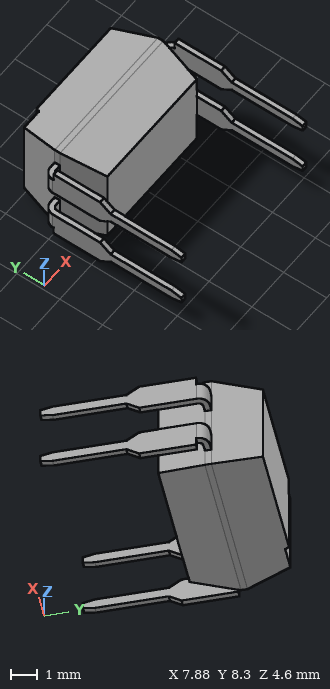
import cadquery as cq

total_depth = 8.3
lead_span = 7.88

body_width = 6.51
body_height = 4.6
half_depth = 1.88
draft = 0.43
step_depth = 0.16
step_floor_x = -1.92
step_top_x = -1.86

lead_thickness = 0.25
bend_radius = 0.415
pin_pitch = 2.54
blade_width = 1.18
pin_width = 0.48
tip_width = 0.28
blade_start = 0.45
blade_end = 2.62
pin_start = 3.11
tip_start = 5.94

band_depth = lead_thickness
back_y = half_depth
lead_length = total_depth - half_depth
end_width = body_width - 2 * draft
end_height = body_height - 2 * draft
bend_inner_radius = bend_radius - lead_thickness
outer_x = lead_span / 2
inner_x = outer_x - lead_thickness
side_x = body_width / 2
bend_x = outer_x - bend_radius


def tapered_half(start_y, end_y):
    """Frustum from the parting band at start_y to the smaller end face at end_y."""
    return (
        cq.Workplane("XZ", origin=(0, start_y, 0))
        .rect(body_width, body_height)
        .workplane(offset=start_y - end_y)
        .rect(end_width, end_height)
        .loft(ruled=True)
    )


def make_housing():
    band = cq.Workplane("XZ").rect(body_width, body_height).extrude(band_depth)
    back_half = tapered_half(0, back_y)
    front_half = tapered_half(-band_depth, -band_depth - half_depth)
    step = (
        cq.Workplane("XY")
        .polyline([
            (-side_x, back_y),
            (step_top_x, back_y),
            (step_floor_x, back_y - step_depth),
            (-side_x, back_y - step_depth),
        ])
        .close()
        .extrude(body_height / 2, both=True)
    )
    return band.union(back_half).union(front_half).cut(step)


def make_upper_right_lead():
    """Bent flat lead whose strip is offset to the outer (+Z) side of its blade."""
    pin_z = pin_pitch / 2
    strip_bottom = pin_z - blade_width / 2
    strip_top = pin_z + pin_width / 2
    strip = (
        cq.Workplane("XY", origin=(0, 0, strip_bottom))
        .moveTo(side_x, 0)
        .lineTo(bend_x, 0)
        .radiusArc((outer_x, -bend_radius), bend_radius)
        .lineTo(outer_x, -blade_start)
        .lineTo(inner_x, -blade_start)
        .lineTo(inner_x, -bend_radius)
        .radiusArc((bend_x, -lead_thickness), -bend_inner_radius)
        .lineTo(side_x, -lead_thickness)
        .close()
        .extrude(strip_top - strip_bottom)
    )
    half_outline = [
        (-blade_start, blade_width / 2),
        (-blade_end, blade_width / 2),
        (-pin_start, pin_width / 2),
        (-tip_start, pin_width / 2),
        (-lead_length, tip_width / 2),
    ]
    mirrored_outline = [(y, -z) for y, z in reversed(half_outline)]
    blade = (
        cq.Workplane("YZ", origin=(inner_x, 0, pin_z))
        .polyline(half_outline + mirrored_outline)
        .close()
        .extrude(lead_thickness)
    )
    return strip.union(blade)


def make_leads():
    upper_right = make_upper_right_lead()
    lower_right = upper_right.mirror("XY")
    leads = []
    for lead in (upper_right, lower_right):
        leads.append(lead.val())
        leads.append(lead.mirror("YZ").val())
    return leads


housing = make_housing()
leads = make_leads()
result = cq.Compound.makeCompound([housing.val(), *leads])